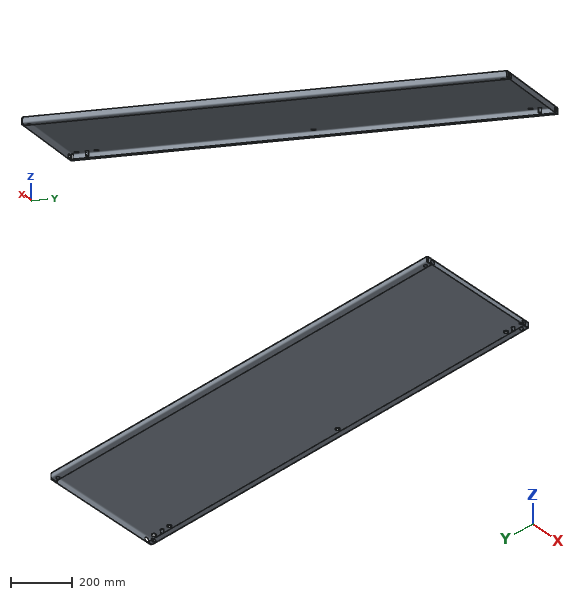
import cadquery as cq

length = 1688.0
width = 488.0
height = 27.0
half_length = length / 2
half_width = width / 2
bottom = -height / 2

sheet = 1.5
bend_radius = 6.0
return_width = 24.0
wall_setback = 4.2
insert_head_height = 1.5
sheet_top = height / 2 - insert_head_height
sheet_underside = sheet_top - sheet
bend_start = sheet_top - bend_radius

row_x = half_width - 15.0
corner_hole_y = 822.0
insert_y = 785.0
fixing_hole_y = 753.0
recess_radius = 8.0
recess_depth = sheet / 2
corner_hole_radius = 6.4
fixing_hole_radius = 4.7

end_hole_x = 218.0
end_hole_z = -3.0
end_hole_radius = 8.8

insert_head_radius = 6.4
insert_body_radius = 5.4
insert_bore_radius = 2.5
insert_bottom = -4.2


def centred_box(size_x, size_y, z_min, z_max):
    """Box centred on the Z axis between two heights."""
    return cq.Workplane().workplane(offset=z_min).rect(size_x, size_y).extrude(z_max - z_min)


def upright_cylinder(radius, z_min, z_max, x, y):
    """Cylinder along Z at the given place."""
    return cq.Workplane().workplane(offset=z_min).center(x, y).circle(radius).extrude(z_max - z_min)


def channel(span, run, rounded_edges, floor_thickness):
    """Folded channel along Y under a top sheet; a floor thickness of zero leaves it open below."""
    outer = centred_box(span, run, bottom, sheet_top).edges(rounded_edges).fillet(bend_radius)
    inner = centred_box(span - 2 * sheet, run, bottom + floor_thickness, sheet_underside)
    inner = inner.edges(rounded_edges).fillet(bend_radius - sheet)
    return outer.cut(inner)


def long_side_folds():
    """Top sheet with both long sides folded down and returned inward along the bottom."""
    folds = channel(width, length - 2 * wall_setback, "|Y", sheet)
    folds = folds.cut(centred_box(width - 2 * return_width, length, bottom, bottom + bend_radius))
    above_bend_start = centred_box(width, length, bend_start, sheet_top)
    flat_run = centred_box(width, length - 2 * bend_radius, bend_start, sheet_top)
    return folds.cut(above_bend_start.cut(flat_run))


def end_folds():
    """Plain flanges folded down at both ends, between the bends of the long sides."""
    folds = channel(length, width - 2 * bend_radius, "|Y and >Z", 0)
    return folds.rotate((0, 0, 0), (0, 0, 1), 90)


def cut_end_holes(flanges):
    """Cut a round hole near each end of both end flanges."""
    holes = (
        cq.Workplane("XZ")
        .pushPoints([(-end_hole_x, end_hole_z), (end_hole_x, end_hole_z)])
        .circle(end_hole_radius)
        .extrude(half_length, both=True)
    )
    inside_flanges = centred_box(width, length - 2 * sheet, bottom, sheet_top)
    return flanges.cut(holes.cut(inside_flanges))


def cut_recessed_hole(body, radius, hole_bottom, x, y):
    """Cut a hole with a shallow round recess around it in the top sheet."""
    body = body.cut(upright_cylinder(recess_radius, sheet_top - recess_depth, sheet_top, x, y))
    return body.cut(upright_cylinder(radius, hole_bottom, sheet_top, x, y))


def make_panel():
    """Folded panel with all its holes."""
    panel = long_side_folds().union(cut_end_holes(end_folds()))
    for x in (-row_x, row_x):
        for y in (-fixing_hole_y, 0, fixing_hole_y):
            panel = cut_recessed_hole(panel, fixing_hole_radius, sheet_underside, x, y)
        for y in (-corner_hole_y, corner_hole_y):
            panel = cut_recessed_hole(panel, corner_hole_radius, bottom, x, y)
        for y in (-insert_y, insert_y):
            panel = panel.cut(upright_cylinder(insert_body_radius, sheet_underside, sheet_top, x, y))
    return panel.solids()


def make_insert(x, y):
    """Threaded insert: a head on the sheet and a bored body through it."""
    head_top = sheet_top + insert_head_height
    head = upright_cylinder(insert_head_radius, sheet_top, head_top, x, y)
    body = upright_cylinder(insert_body_radius, insert_bottom, sheet_top, x, y)
    bore = upright_cylinder(insert_bore_radius, insert_bottom, head_top, x, y)
    return head.union(body).cut(bore).solids()


panel = make_panel()
inserts = [make_insert(x, y) for x in (-row_x, row_x) for y in (-insert_y, insert_y)]

result = cq.Compound.makeCompound([panel.val(), *[insert.val() for insert in inserts]])